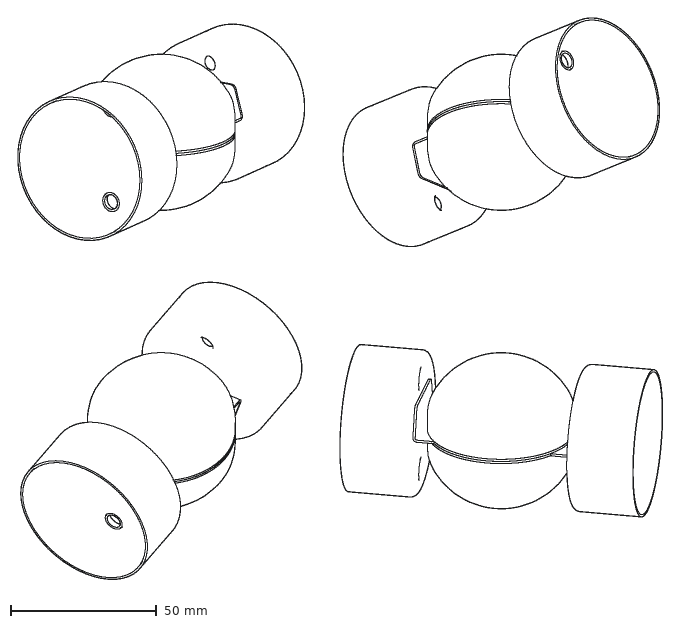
import cadquery as cq
import math

radius = 25.4
sheet = 0.8
overall_length = 102.6
overall_height = 53.6
joint_gap = 2.4

cup_rim_y = overall_length / 2
cup_floor_y = radius + joint_gap
cup_corner_radius = 2.0
collar_offset = 16.95
collar_bore_radius = 2.6
collar_flare_radius = 3.0
collar_outer_radius = collar_bore_radius + sheet
collar_mouth_radius = collar_outer_radius + collar_flare_radius

tab_half_width = 15.2
bend_inner_radius = 0.6
bend_outer_radius = bend_inner_radius + sheet
leg_height = 12.0
leg_top_half_width = 12.15
leg_corner_radius = 2.0

dome_base_z = sheet
dome_crown_z = overall_height / 2
dome_wall_height = 5.0
crown_radius = 26.95
crown_centre_z = dome_crown_z - crown_radius
shoulder_z = dome_base_z + dome_wall_height
shoulder_rise = shoulder_z - crown_centre_z
shoulder_radius = (crown_radius**2 - radius**2 - shoulder_rise**2) / (2 * (crown_radius - radius))


def make_cup():
    """Open cup on the +Y side, floor toward the ball, with two flared collars."""
    blank = (
        cq.Workplane("XZ", origin=(0, cup_floor_y, 0))
        .circle(radius)
        .extrude(cup_floor_y - cup_rim_y)
        .faces("<Y")
        .edges()
        .fillet(cup_corner_radius)
    )
    cavity = (
        cq.Workplane("XZ", origin=(0, cup_floor_y + sheet, 0))
        .circle(radius - sheet)
        .extrude(cup_floor_y + sheet - cup_rim_y)
        .faces("<Y")
        .edges()
        .fillet(cup_corner_radius - sheet)
    )
    cup = blank.cut(cavity)
    for z in (-collar_offset, collar_offset):
        cup = cup.cut(make_collar_opening(z)).union(make_collar(z))
    return cup


def make_collar_opening(z):
    """Round plug that clears the floor where a collar is formed."""
    return (
        cq.Workplane("XZ", origin=(0, cup_floor_y, z))
        .circle(collar_mouth_radius)
        .extrude(-sheet)
    )


def make_collar(z):
    """Trumpet-shaped collar turned from the floor sheet into the cup."""
    bore_mouth_radius = collar_bore_radius + collar_flare_radius
    collar_height = sheet + collar_flare_radius
    mid_arc = collar_flare_radius * math.sqrt(0.5)
    profile = (
        cq.Workplane("XY")
        .moveTo(collar_mouth_radius, 0)
        .lineTo(bore_mouth_radius, 0)
        .threePointArc(
            (bore_mouth_radius - mid_arc, collar_flare_radius - mid_arc),
            (collar_bore_radius, collar_flare_radius),
        )
        .lineTo(collar_bore_radius, collar_height)
        .lineTo(collar_outer_radius, collar_height)
        .threePointArc(
            (collar_mouth_radius - mid_arc, collar_height - mid_arc),
            (collar_mouth_radius, sheet),
        )
        .close()
    )
    return profile.revolve(360, (0, 0, 0), (0, 1, 0)).translate((0, cup_floor_y, z))


def make_bracket():
    """Round plate with a tab toward +Y that bends up into a tapered leg."""
    disc = cq.Workplane("XY").circle(radius).extrude(sheet)
    bent_strip = (
        cq.Workplane("YZ", origin=(-tab_half_width, 0, 0))
        .lineTo(cup_floor_y, 0)
        .lineTo(cup_floor_y, leg_height)
        .lineTo(cup_floor_y - sheet, leg_height)
        .lineTo(cup_floor_y - sheet, sheet)
        .lineTo(0, sheet)
        .close()
        .extrude(2 * tab_half_width)
    )
    inner_bend_edge = cq.selectors.NearestToPointSelector((0, cup_floor_y - sheet, sheet))
    outer_bend_edge = cq.selectors.NearestToPointSelector((0, cup_floor_y, 0))
    bent_strip = bent_strip.edges(inner_bend_edge).fillet(bend_inner_radius)
    bent_strip = bent_strip.edges(outer_bend_edge).fillet(bend_outer_radius)
    leg_outline = (
        cq.Workplane("XZ")
        .moveTo(-tab_half_width, 0)
        .lineTo(tab_half_width, 0)
        .lineTo(tab_half_width, bend_outer_radius)
        .lineTo(leg_top_half_width, leg_height)
        .lineTo(-leg_top_half_width, leg_height)
        .lineTo(-tab_half_width, bend_outer_radius)
        .close()
        .extrude(-cup_floor_y)
        .edges("|Y and >Z")
        .fillet(leg_corner_radius)
    )
    return disc.union(bent_strip.intersect(leg_outline))


def make_dome():
    """Dished dome: straight wall, rounded shoulder and a spherical crown."""
    shoulder_r = radius - shoulder_radius
    tangent_angle = math.atan2(shoulder_rise, shoulder_r)

    def shoulder_point(angle):
        return (
            shoulder_r + shoulder_radius * math.cos(angle),
            shoulder_z + shoulder_radius * math.sin(angle),
        )

    def crown_point(angle):
        return (
            crown_radius * math.cos(angle),
            crown_centre_z + crown_radius * math.sin(angle),
        )

    profile = (
        cq.Workplane("XZ")
        .moveTo(0, dome_base_z)
        .lineTo(radius, dome_base_z)
        .lineTo(radius, shoulder_z)
        .threePointArc(shoulder_point(tangent_angle / 2), shoulder_point(tangent_angle))
        .threePointArc(crown_point((tangent_angle + math.pi / 2) / 2), (0, dome_crown_z))
        .close()
    )
    return profile.revolve(360, (0, 0, 0), (0, 1, 0))


bodies = []
for make_body in (make_cup, make_bracket, make_dome):
    for turn in (0, 180):
        bodies.append(make_body().rotate((0, 0, 0), (1, 0, 0), turn).solids().val())

result = cq.Compound.makeCompound(bodies)